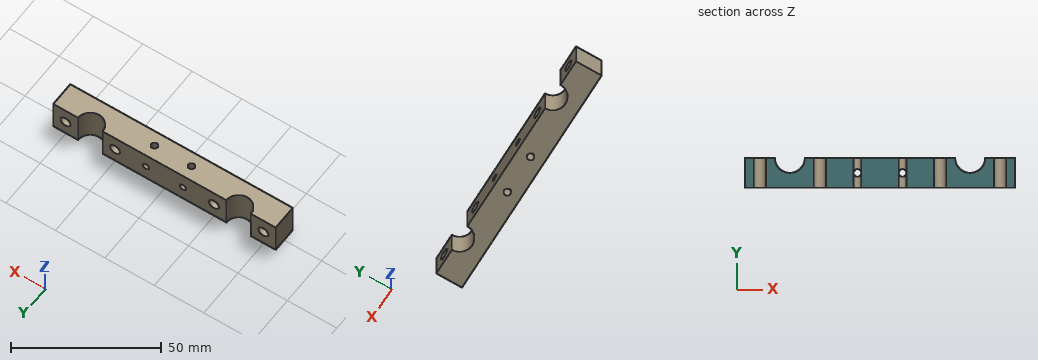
import cadquery as cq

LENGTH = 90.0
DEPTH = 10.0
HEIGHT = 12.5

SEAT_DIAMETER = 9.9
SEAT_SPACING = 60.0

MOUNT_DIAMETER = 4.0
OUTER_MOUNT_SPACING = 80.0
INNER_MOUNT_SPACING = 40.0

SMALL_DIAMETER = 2.5
SMALL_SPACING = 15.0


def cylinder_pair(plane, diameter, spacing, length, offset=0.0):
    """Two cylinders symmetric about X = 0, normal to the plane and centred on it."""
    centers = [(-spacing / 2, offset), (spacing / 2, offset)]
    return cq.Workplane(plane).pushPoints(centers).circle(diameter / 2).extrude(length / 2, both=True)


def make_bar():
    return cq.Workplane("XY").box(LENGTH, DEPTH, HEIGHT)


def cut_rod_seats(body):
    return body.cut(cylinder_pair("XY", SEAT_DIAMETER, SEAT_SPACING, HEIGHT, offset=DEPTH / 2))


def cut_mounting_holes(body):
    for spacing in (OUTER_MOUNT_SPACING, INNER_MOUNT_SPACING):
        body = body.cut(cylinder_pair("XZ", MOUNT_DIAMETER, spacing, DEPTH))
    return body


def cut_small_holes(body):
    body = body.cut(cylinder_pair("XZ", SMALL_DIAMETER, SMALL_SPACING, DEPTH))
    return body.cut(cylinder_pair("XY", SMALL_DIAMETER, SMALL_SPACING, HEIGHT))


result = cut_small_holes(cut_mounting_holes(cut_rod_seats(make_bar())))